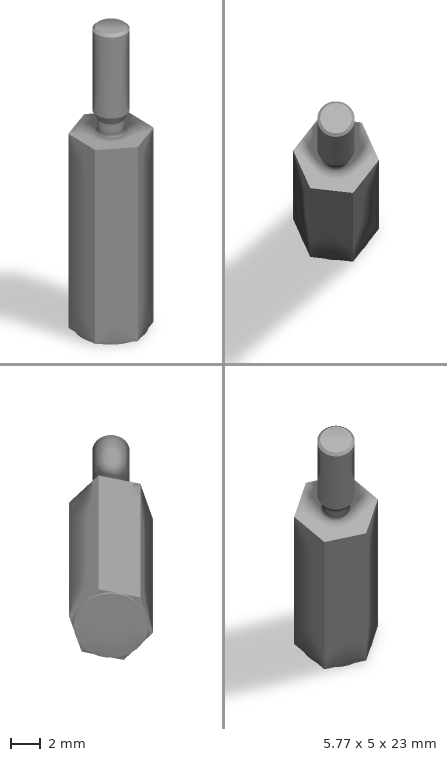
import cadquery as cq
import math

total_length = 23.0
stud_length = 8.0
body_length = total_length - stud_length

across_corners = 5.77
across_flats = across_corners * math.cos(math.radians(30))
washer_face_height = 0.14

stud_diameter = 2.5
tip_diameter = 2.12
tip_chamfer_height = 0.18

neck_diameter = 1.8
groove_length = 1.6
groove_taper_angle = 30
groove_fillet = 0.18


def make_body():
    """Hexagonal prism standing on a disc as wide as its flats."""
    washer_face = cq.Workplane("XY").circle(across_flats / 2).extrude(washer_face_height)
    hexagon = (
        cq.Workplane("XY", origin=(0, 0, washer_face_height))
        .polygon(6, across_corners)
        .extrude(body_length - washer_face_height)
    )
    return washer_face.union(hexagon)


def make_stud():
    """Stud revolved about Z, with a tapered groove above the body and a chamfered tip."""
    stud_radius = stud_diameter / 2
    neck_radius = neck_diameter / 2
    taper = math.radians(groove_taper_angle)
    groove_top = body_length + groove_length
    taper_bottom = groove_top - (stud_radius - neck_radius) / math.tan(taper)

    tangent_length = groove_fillet * math.tan(taper / 2)
    taper_tangent = (
        neck_radius + tangent_length * math.sin(taper),
        taper_bottom + tangent_length * math.cos(taper),
    )
    neck_tangent = (neck_radius, taper_bottom - tangent_length)

    profile = (
        cq.Workplane("XZ")
        .moveTo(0, body_length)
        .lineTo(neck_radius + groove_fillet, body_length)
        .radiusArc((neck_radius, body_length + groove_fillet), groove_fillet)
        .lineTo(*neck_tangent)
        .radiusArc(taper_tangent, groove_fillet)
        .lineTo(stud_radius, groove_top)
        .lineTo(stud_radius, total_length - tip_chamfer_height)
        .lineTo(tip_diameter / 2, total_length)
        .lineTo(0, total_length)
        .close()
    )
    return profile.revolve(360, (0, 0, 0), (0, 1, 0))


result = make_body().union(make_stud())